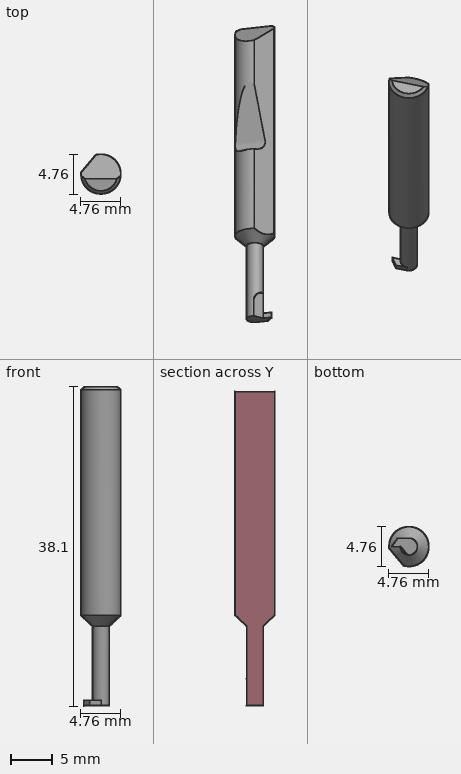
import cadquery as cq
import math

total_length = 38.1
shank_radius = 2.38
shoulder_height = 10.85
end_chamfer = 0.4
bevel_size = 2.95

neck_radius = 1.01
neck_top = 9.55
bottom_clearance = 0.1

shank_flat_distance = 1.95
shank_flat_angle = 140
relief_distance = 0.75
relief_angle = 180 - math.degrees(math.acos(relief_distance / neck_radius))
relief_height = 3.3
relief_corner_radius = 1.22

notch_bottom = 21.15
notch_top = 29.85
notch_radius = 1.25

hook_reach = 2.05
hook_heel_x = -1.35
hook_end_x = 0.057
hook_depth = neck_radius
hook_top = 0.75
tip_width = 0.1

clear = 7.62


def make_blank():
    """Revolve the neck, cone and chamfered shank as one profile."""
    return (
        cq.Workplane("XZ")
        .moveTo(0, bottom_clearance)
        .lineTo(neck_radius, bottom_clearance)
        .lineTo(neck_radius, neck_top)
        .lineTo(shank_radius, shoulder_height)
        .lineTo(shank_radius, total_length - end_chamfer)
        .lineTo(shank_radius - end_chamfer, total_length)
        .lineTo(0, total_length)
        .close()
        .revolve(360, (0, 0, 0), (0, 1, 0))
    )


def flat_plane(distance, normal_angle):
    """Plane of a side flat; local x runs across it toward -Y, local y along Z."""
    angle = math.radians(normal_angle)
    normal = (math.cos(angle), math.sin(angle), 0)
    across = (-normal[1], normal[0], 0)
    origin = (distance * normal[0], distance * normal[1], 0)
    return cq.Plane(origin=origin, xDir=across, normal=normal)


def make_shank_flat():
    """Flat over the shank, ending where it runs out of the cone."""
    flat_length = total_length - neck_top
    return (
        cq.Workplane(flat_plane(shank_flat_distance, shank_flat_angle))
        .center(0, neck_top + flat_length / 2)
        .rect(clear, flat_length)
        .extrude(clear)
    )


def make_head_relief():
    """Flat beside the hook with a rounded upper corner toward +Y."""
    half_chord = math.sqrt(neck_radius**2 - relief_distance**2)
    arc_end_z = relief_height - relief_corner_radius
    arc_middle = relief_corner_radius * (1 - math.sqrt(0.5))
    return (
        cq.Workplane(flat_plane(relief_distance, relief_angle))
        .moveTo(-half_chord, 0)
        .lineTo(neck_radius, 0)
        .lineTo(neck_radius, relief_height)
        .lineTo(relief_corner_radius - half_chord, relief_height)
        .threePointArc((arc_middle - half_chord, relief_height - arc_middle), (-half_chord, arc_end_z))
        .close()
        .extrude(neck_radius)
    )


def make_end_bevel():
    """45 degree bevel across the +Y side of the shank end."""
    return (
        cq.Workplane("YZ")
        .moveTo(shank_radius, total_length - bevel_size)
        .lineTo(shank_radius, total_length)
        .lineTo(shank_radius - bevel_size, total_length)
        .close()
        .extrude(clear / 2, both=True)
    )


def make_notch():
    """Ramp running tangentially into a round-bottomed clamping notch."""
    center_z = notch_bottom + notch_radius
    tangent_angle = math.acos(notch_radius / (notch_top - center_z))

    def arc_point(angle):
        return (
            shank_radius - notch_radius * math.sin(angle),
            center_z + notch_radius * math.cos(angle),
        )

    middle_angle = (tangent_angle + math.pi) / 2
    return (
        cq.Workplane("YZ")
        .moveTo(shank_radius, notch_top)
        .lineTo(*arc_point(tangent_angle))
        .threePointArc(arc_point(middle_angle), arc_point(math.pi))
        .close()
        .extrude(clear / 2, both=True)
    )


def make_hook():
    """Cutting hook with its rake face at y = 0 and a fine tip reaching z = 0."""
    outline = [
        (-hook_reach, 0),
        (hook_heel_x, -hook_depth),
        (hook_end_x, -hook_depth),
        (hook_end_x, 0),
    ]
    hook = cq.Workplane("XY").polyline(outline).close().extrude(hook_top)
    underside = (
        cq.Workplane("XZ")
        .moveTo(-hook_reach, 0)
        .lineTo(tip_width - hook_reach, bottom_clearance)
        .lineTo(clear, bottom_clearance)
        .lineTo(clear, 0)
        .close()
        .extrude(clear)
    )
    return hook.cut(underside)


blank = make_blank()
blank = blank.cut(make_shank_flat()).cut(make_head_relief())
blank = blank.cut(make_end_bevel()).cut(make_notch())
result = blank.union(make_hook())